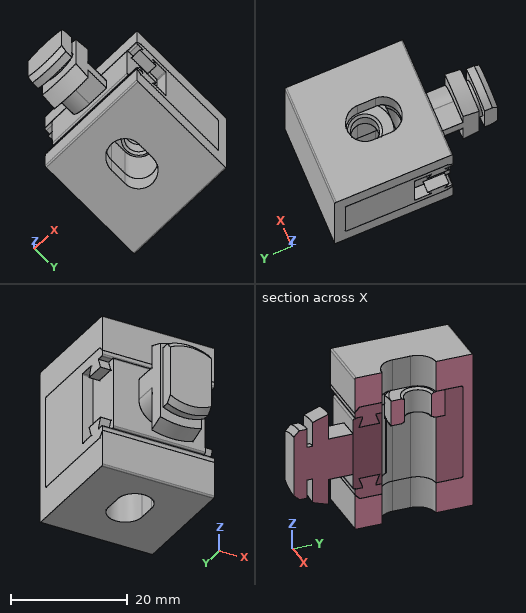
import cadquery as cq
import math


BLOCK_WIDTH = 22.0
BLOCK_DEPTH = 22.0
BLOCK_HEIGHT = 30.0
EDGE_RADIUS = 0.3

BACK_WALL = 2.0
LINER_HEIGHT = 17.98
LINER_BEVEL = 1.0
LINER_BACK = BLOCK_DEPTH - BACK_WALL
CHANNEL_HEIGHT = 13.92
CHANNEL_DEPTH = 7.13
CORNER_RADIUS = 0.13

RAIL_CENTRE = 2.73
RAIL_TIP_WIDTH = 4.0
RAIL_ROOT_WIDTH = 2.5
RAIL_GAP = 10.0

SLIDER_WIDTH = 17.98
SLIDER_BACK = CHANNEL_DEPTH - CORNER_RADIUS
SLIDER_OVERHANG = 0.3

NUT_ACROSS_FLATS = 10.0
NUT_HEIGHT = 5.0
NUT_BORE = 4.93
NUT_SINK_DIAMETER = 6.0
NUT_CHAMFER_DIAMETER = 9.95
NUT_BLANK_RADIUS = 6.65
NUT_SINK_ANGLE = 30.0
NUT_CHAMFER_ANGLE = 30.0
NUT_CENTRE = 11.72
NUT_BASE = LINER_HEIGHT / 2 - NUT_HEIGHT

SLOT_WIDTH = 6.6
SLOT_TRAVEL = 3.33

STUD_WIDTH = 8.1
NECK_LENGTH = 4.5
COLLAR_THICKNESS = 3.0
COLLAR_HEIGHT = 17.98
COLLAR_END_RADIUS = 14.0
COLLAR_TAPER = 1.03
GROOVE_DIAMETER = 6.6
GROOVE_WIDTH = 1.0
HEAD_THICKNESS = 2.5
HEAD_HEIGHT = 13.72
HEAD_END_RADIUS = 9.32
HEAD_CHAMFER = 1.03


def box(width, y_front, y_back, height):
    """A box centred on X = 0 and Z = 0."""
    return cq.Workplane("XY").box(width, y_back - y_front, height).translate((0, (y_front + y_back) / 2, 0))


def extrude_across(points, width):
    """A prism with the (Y, Z) outline `points`, centred on X = 0."""
    return cq.Workplane("YZ").polyline(points).close().extrude(width / 2, both=True)


def liner_envelope():
    """The liner's outside, which is also the shape of the channel in the block."""
    half = LINER_HEIGHT / 2
    outline = [
        (LINER_BACK, -half),
        (LINER_BACK, half),
        (LINER_BEVEL, half),
        (0, half - LINER_BEVEL),
        (0, LINER_BEVEL - half),
        (LINER_BEVEL, -half),
    ]
    return extrude_across(outline, BLOCK_WIDTH).edges("|X and >Y").fillet(EDGE_RADIUS)


def rail(side):
    """One dovetail rail, on the upper (side = 1) or lower (side = -1) arm."""
    root = side * CHANNEL_HEIGHT / 2
    tip = side * RAIL_GAP / 2
    outline = [
        (RAIL_CENTRE - RAIL_ROOT_WIDTH / 2, root),
        (RAIL_CENTRE - RAIL_TIP_WIDTH / 2, tip),
        (RAIL_CENTRE + RAIL_TIP_WIDTH / 2, tip),
        (RAIL_CENTRE + RAIL_ROOT_WIDTH / 2, root),
    ]
    return extrude_across(outline, BLOCK_WIDTH)


def adjusting_slot():
    return (
        cq.Workplane("XY", origin=(0, NUT_CENTRE - SLOT_TRAVEL / 2, -BLOCK_HEIGHT / 2))
        .slot2D(SLOT_TRAVEL + SLOT_WIDTH, SLOT_WIDTH, 90)
        .extrude(BLOCK_HEIGHT)
    )


def nut_hexagon():
    """The hexagonal prism of the nut, with flats facing -Y and +Y."""
    across_corners = NUT_ACROSS_FLATS / math.cos(math.pi / 6)
    return (
        cq.Workplane("XY", origin=(0, NUT_CENTRE, NUT_BASE))
        .polygon(6, across_corners)
        .extrude(NUT_HEIGHT)
    )


def make_block():
    block = box(BLOCK_WIDTH, 0, BLOCK_DEPTH, BLOCK_HEIGHT).edges("|X").fillet(EDGE_RADIUS)
    return block.cut(liner_envelope()).cut(adjusting_slot())


def make_liner():
    channel = box(BLOCK_WIDTH, 0, CHANNEL_DEPTH, CHANNEL_HEIGHT).edges("|X and >Y").fillet(CORNER_RADIUS)
    liner = liner_envelope().cut(channel)
    lip_half = CHANNEL_HEIGHT / 2 + EDGE_RADIUS
    lip_edges = cq.selectors.BoxSelector(
        (-BLOCK_WIDTH, -EDGE_RADIUS, -lip_half), (BLOCK_WIDTH, EDGE_RADIUS, lip_half)
    )
    liner = liner.edges("|X").edges(lip_edges).fillet(EDGE_RADIUS)
    for side in (-1, 1):
        liner = liner.union(rail(side))
    return liner.cut(adjusting_slot()).cut(nut_hexagon())


def make_slider():
    slider = box(SLIDER_WIDTH, -SLIDER_OVERHANG, SLIDER_BACK, CHANNEL_HEIGHT)
    slider = slider.edges("|X and <Y").fillet(EDGE_RADIUS)
    for side in (-1, 1):
        slider = slider.cut(rail(side))
    return slider.cut(adjusting_slot()).cut(nut_hexagon())


def make_nut():
    bore_radius = NUT_BORE / 2
    sink_radius = NUT_SINK_DIAMETER / 2
    sink_depth = (sink_radius - bore_radius) * math.tan(math.radians(NUT_SINK_ANGLE))
    chamfer_radius = NUT_CHAMFER_DIAMETER / 2
    chamfer_drop = (NUT_BLANK_RADIUS - chamfer_radius) * math.tan(math.radians(NUT_CHAMFER_ANGLE))
    half_section = [
        (bore_radius, sink_depth),
        (sink_radius, 0),
        (chamfer_radius, 0),
        (NUT_BLANK_RADIUS, chamfer_drop),
        (NUT_BLANK_RADIUS, NUT_HEIGHT - chamfer_drop),
        (chamfer_radius, NUT_HEIGHT),
        (sink_radius, NUT_HEIGHT),
        (bore_radius, NUT_HEIGHT - sink_depth),
    ]
    turned_shape = (
        cq.Workplane("XZ", origin=(0, NUT_CENTRE, NUT_BASE))
        .polyline(half_section)
        .close()
        .revolve(360, (0, 0), (0, 1))
    )
    return nut_hexagon().intersect(turned_shape)


def round_ended_plate(y_back, thickness, height, end_radius, taper, taper_length):
    """An upright plate with arched ends, which taper in towards its front face."""
    y_front = y_back - thickness
    half_section = [
        (0, y_back),
        (end_radius, y_back),
        (end_radius - taper, y_front),
        (0, y_front),
    ]
    if taper_length < thickness:
        half_section.insert(2, (end_radius, y_front + taper_length))
    end_disc = cq.Workplane("XY").polyline(half_section).close().revolve(360, (0, 0), (0, 1))
    plate = box(STUD_WIDTH, y_front, y_back, height)
    for side in (-1, 1):
        arc_centre = side * (height / 2 - end_radius)
        plate = plate.intersect(end_disc.translate((0, 0, arc_centre)))
    return plate


def neck(y_front, y_back):
    """A square bar, with two opposite corners fully rounded so that it can make a quarter turn."""
    half = STUD_WIDTH / 2
    return (
        cq.Workplane("XZ", origin=(0, y_back, 0))
        .moveTo(-half, half)
        .lineTo(0, half)
        .radiusArc((half, 0), half)
        .lineTo(half, -half)
        .lineTo(0, -half)
        .radiusArc((-half, 0), half)
        .close()
        .extrude(y_back - y_front)
    )


def make_stud():
    neck_back = -SLIDER_OVERHANG
    collar_back = neck_back - NECK_LENGTH
    groove_back = collar_back - COLLAR_THICKNESS
    head_back = groove_back - GROOVE_WIDTH
    collar = round_ended_plate(
        collar_back, COLLAR_THICKNESS, COLLAR_HEIGHT, COLLAR_END_RADIUS, COLLAR_TAPER, COLLAR_THICKNESS
    )
    groove_core = (
        cq.Workplane("XZ", origin=(0, groove_back, 0))
        .circle(GROOVE_DIAMETER / 2)
        .extrude(GROOVE_WIDTH)
    )
    head = round_ended_plate(
        head_back, HEAD_THICKNESS, HEAD_HEIGHT, HEAD_END_RADIUS, HEAD_CHAMFER, HEAD_CHAMFER
    )
    return neck(collar_back, neck_back).union(collar).union(groove_core).union(head)


block = make_block()
liner = make_liner()
slider = make_slider()
nut = make_nut()
stud = make_stud()

bodies = [block, liner, slider, nut, stud]
result = cq.Compound.makeCompound([body.solids().val() for body in bodies])